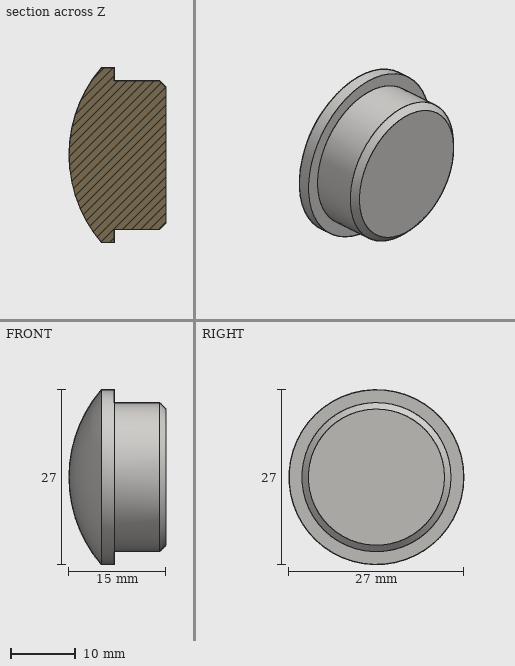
import cadquery as cq
import math

flange_diameter = 27.0
flange_thickness = 2.0
dome_height = 5.0
plug_diameter = 23.0
plug_length = 8.0
plug_chamfer = 1.0

flange_radius = flange_diameter / 2
plug_radius = plug_diameter / 2
dome_base_x = -flange_thickness
apex_x = dome_base_x - dome_height

dome_radius = (flange_radius**2 + dome_height**2) / (2 * dome_height)
dome_center_x = apex_x + dome_radius
half_angle = math.asin(flange_radius / dome_radius) / 2
dome_mid_point = (
    dome_center_x - dome_radius * math.cos(half_angle),
    dome_radius * math.sin(half_angle),
)


def make_head():
    """Domed head with its cylindrical flange, revolved about the X axis."""
    profile = (
        cq.Workplane("XY")
        .moveTo(apex_x, 0)
        .threePointArc(dome_mid_point, (dome_base_x, flange_radius))
        .lineTo(0, flange_radius)
        .lineTo(0, 0)
        .close()
    )
    return profile.revolve(360, (0, 0, 0), (1, 0, 0))


def make_plug():
    """Cylindrical plug behind the flange, chamfered at its free end."""
    plug = cq.Workplane("YZ").circle(plug_radius).extrude(plug_length)
    return plug.faces(">X").chamfer(plug_chamfer)


result = make_head().union(make_plug())